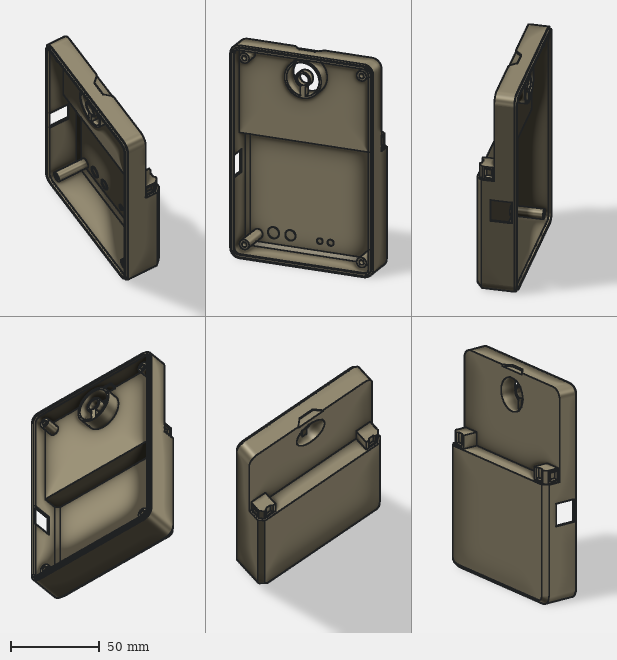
import cadquery as cq

width = 88.0
depth = 23.3
height = 128.0

wall = 1.3
corner_radius = 6.0
back_chamfer = 3.0
inner_chamfer = 2.2
upper_depth = 12.8
lower_top = 8.7

lip_thickness = 1.3
lip_height = 1.3
lip_root = 0.4

post_recess = 3.0
post_diameter = 5.9
post_bore = 3.0
post_bore_depth = 6.4
post_x = 36.0
post_z = 56.0

hub_z = 48.5
ring_outer = 22.4
ring_inner = 20.0
hub_outer = 9.1
hub_inner = 6.8
hub_length = 4.2
spoke_width = 3.0

floor_recesses = [
    (-26.5, -54.0, 6.8),
    (-16.1, -54.0, 6.3),
    (1.9, -54.8, 3.5),
    (8.6, -54.8, 3.7),
]
recess_depth = 0.5

window_depth = 12.5
window_height = 13.6
window_setback = 2.5
window_z = -10.5

notch_width = 17.8
notch_depth = 4.1
notch_height = 1.0

block_width = 10.2
block_height = 8.0

pocket_width = 5.1
pocket_height = 5.9
pocket_depth = 1.0
pocket_x = 36.9
pocket_y = 4.5

front = -depth / 2
back = depth / 2
rim = front + lip_height
upper_back = front + upper_depth
post_end = front + post_recess
floor = back - wall
upper_floor = upper_back - wall
inner_side = width / 2 - wall
block_top = lower_top + block_height


def slab(inset, y_start, y_end):
    """Rounded rectangular plate, the body outline moved inward by inset, between two Y levels."""
    return (
        cq.Workplane("XZ", origin=(0, y_start, 0))
        .rect(width - 2 * inset, height - 2 * inset)
        .extrude(y_start - y_end)
        .edges("|Y")
        .fillet(corner_radius - inset)
    )


def box(x_range, y_range, z_range):
    """Axis-aligned box between the given limits."""
    x_size, y_size, z_size = (end - start for start, end in (x_range, y_range, z_range))
    corner = (x_range[0], y_range[0], z_range[0])
    return cq.Workplane("XY").box(x_size, y_size, z_size, centered=False).translate(corner)


def rod(x, z, diameter, y_start, y_end):
    """Cylinder along Y."""
    return cq.Workplane("XZ", origin=(x, y_start, z)).circle(diameter / 2).extrude(y_start - y_end)


def stepped_solid(inset, chamfer, y_back, y_upper_back, z_step):
    """Deep lower part with a chamfered back edge, joined to a shallower upper part."""
    deep = slab(inset, rim, y_back).faces(">Y").chamfer(chamfer)
    above_step = box((-width, width), (y_upper_back, depth), (z_step, height))
    return deep.cut(above_step)


def corner_block():
    """Left corner block: fills the cavity outline above the step, with a pocket in its side and back."""
    outline = slab(wall, rim, floor).faces(">Y").chamfer(inner_chamfer)
    limits = box((-inner_side, block_width - inner_side), (upper_floor, back), (lower_top, block_top))
    block = outline.intersect(limits)
    middle = (lower_top + block_top) / 2
    side_pocket = (
        cq.Workplane("YZ", origin=(-inner_side, pocket_y, middle))
        .rect(pocket_width, pocket_height)
        .extrude(pocket_depth, taper=45)
    )
    back_pocket_bottom = middle - pocket_height / 2
    back_pocket_height = 2 * (block_top - back_pocket_bottom)
    back_pocket = (
        cq.Workplane("XZ", origin=(-pocket_x, floor, back_pocket_bottom + back_pocket_height / 2))
        .rect(pocket_width, back_pocket_height)
        .extrude(pocket_depth, taper=45)
    )
    return block.cut(side_pocket).cut(back_pocket)


body = stepped_solid(0, back_chamfer, back, upper_back, lower_top)
left_block = corner_block()
body = body.union(left_block).union(left_block.mirror("YZ"))
cavity = stepped_solid(wall, inner_chamfer, floor, upper_floor, lower_top - wall)
body = body.cut(cavity)

lip_end = rim + lip_root
lip = slab(wall, front, lip_end).cut(slab(wall + lip_thickness, front, lip_end))
body = body.union(lip)

for x in (-post_x, post_x):
    for z, y_floor in ((post_z, upper_floor), (-post_z, floor)):
        post = rod(x, z, post_diameter, post_end, y_floor)
        bore = rod(x, z, post_bore, post_end, post_end + post_bore_depth)
        body = body.union(post).cut(bore)

hub_end = post_end + hub_length
body = body.union(rod(0, hub_z, ring_outer, post_end, upper_back))
body = body.cut(rod(0, hub_z, ring_inner, post_end, upper_back))
spoke_bottom = hub_z - (ring_outer + ring_inner) / 4
spoke = box((-spoke_width / 2, spoke_width / 2), (post_end, hub_end), (spoke_bottom, hub_z))
hub = rod(0, hub_z, hub_outer, post_end, hub_end).union(spoke)
body = body.union(hub.cut(rod(0, hub_z, hub_inner, post_end, hub_end)))

for x, z, diameter in floor_recesses:
    body = body.cut(rod(x, z, diameter, floor, floor + recess_depth))

window_front = front + window_setback
window_bottom = window_z - window_height / 2
body = body.cut(
    box(
        (-width / 2, -inner_side),
        (window_front, window_front + window_depth),
        (window_bottom, window_bottom + window_height),
    )
)

notch_bottom = height / 2 - notch_height
notch_front = upper_back - notch_depth
half_notch = notch_width / 2
backing = box(
    (-half_notch, half_notch),
    (notch_front - wall, upper_back),
    (notch_bottom - wall, height / 2),
)
notch = (
    cq.Workplane("XY", origin=(0, 0, notch_bottom))
    .moveTo(-half_notch, upper_back)
    .lineTo(half_notch, upper_back)
    .lineTo(half_notch - notch_depth, notch_front)
    .lineTo(notch_depth - half_notch, notch_front)
    .close()
    .extrude(notch_height)
)
result = body.union(backing).cut(notch)